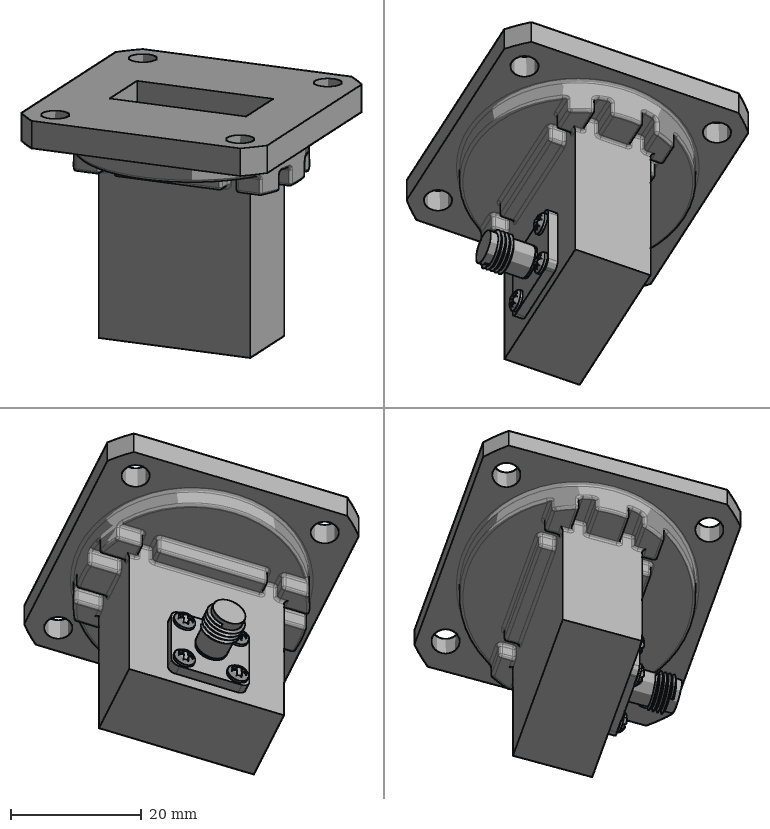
import cadquery as cq
import math

plate_side = 41.25
plate_thickness = 4.4
plate_corner_cut = 3.15
bolt_hole_diameter = 4.3
bolt_spacing_x = 31.05
bolt_spacing_y = 32.52

wall_thickness = 1.3
tube_x = 25.42
tube_y = 12.7
tube_bottom = -38.1
cavity_x = tube_x - 2 * wall_thickness
cavity_y = tube_y - 2 * wall_thickness

disc_diameter = 36.1
disc_bottom = -7.95
skirt_bottom = -11.1
skirt_y = 18.0
notch_width = 2.4
collar_fillet = 0.5

connector_z = -29.55
connector_end = 15.9
connector_flange_side = 12.8
connector_flange_thickness = 1.6
connector_corner_radius = 1.3
barrel_diameter = 5.32
neck_diameter = 5.08
neck_length = 0.37
thread_diameter = 6.35
thread_pitch = 0.7
thread_start = 11.93
thread_turns = 4.2
thread_base_width = 0.65
thread_root_sink = 0.1

screw_spacing = 8.75
screw_head_diameter = 3.45
screw_rim_height = 0.4
screw_head_height = 1.3
screw_slot_width = 0.83
screw_slot_length = 2.3
screw_slot_depth = 0.6

tolerance = 0.005

connector_face = tube_y / 2 + connector_flange_thickness


def box_between(size_x, size_y, z_bottom, z_top):
    """Box centred on the Z axis."""
    return cq.Workplane("XY", origin=(0, 0, z_bottom)).rect(size_x, size_y).extrude(z_top - z_bottom)


def disc_between(diameter, z_bottom, z_top):
    """Disc centred on the Z axis."""
    return cq.Workplane("XY", origin=(0, 0, z_bottom)).circle(diameter / 2).extrude(z_top - z_bottom)


def make_plate():
    """Square plate whose corners are cut by one large circle about its centre."""
    half_side = plate_side / 2
    corner_diameter = 2 * math.hypot(half_side, half_side - plate_corner_cut)
    plate = box_between(plate_side, plate_side, -plate_thickness, 0)
    return plate.intersect(disc_between(corner_diameter, -plate_thickness, 0))


def at_level(edge, z):
    """True for an edge lying flat at height z."""
    box = edge.BoundingBox()
    return abs(box.zmin - z) < tolerance and abs(box.zmax - z) < tolerance


def on_tube(edge):
    """True for an edge lying in a side face of the tube."""
    center = edge.Center()
    off_x = abs(abs(center.x) - tube_x / 2)
    off_y = abs(abs(center.y) - tube_y / 2)
    return min(off_x, off_y) < tolerance


def on_skirt_side(edge):
    """True for an edge lying in one of the two flat sides of the skirt."""
    return abs(abs(edge.Center().y) - skirt_y / 2) < tolerance


def on_stock_side(edge):
    """True for an edge lying in an outer side of the square collar stock."""
    center = edge.Center()
    return max(abs(center.x), abs(center.y)) > plate_side / 2 - tolerance


def on_disc_rim(edge):
    """True for an edge lying in the round side of the disc."""
    points = [edge.positionAt(fraction) for fraction in (0, 0.5, 1)]
    return all(abs(math.hypot(p.x, p.y) - disc_diameter / 2) < tolerance for p in points)


def within_collar(edge):
    """True for an edge between the skirt bottom and the underside of the plate."""
    z = edge.Center().z
    return skirt_bottom - tolerance < z < -plate_thickness - tolerance


def make_square_collar():
    """Collar around the tube, still square outside, with its inner corners and lower edges rounded."""
    skirt = box_between(plate_side, skirt_y, skirt_bottom, disc_bottom)
    notch_x = (cavity_x - notch_width) / 2
    notch_y = (cavity_y - notch_width) / 2
    notch_along_y = box_between(notch_width, skirt_y, skirt_bottom, disc_bottom)
    notch_along_x = box_between(plate_side, notch_width, skirt_bottom, disc_bottom)
    for side in (-1, 1):
        skirt = skirt.cut(notch_along_y.translate((side * notch_x, 0, 0)))
        skirt = skirt.cut(notch_along_x.translate((0, side * notch_y, 0)))

    collar = box_between(plate_side, plate_side, disc_bottom, -plate_thickness).union(skirt)
    collar = collar.union(box_between(tube_x, tube_y, tube_bottom, -plate_thickness))

    collar = collar.edges("|Z").filter(
        lambda e: on_skirt_side(e) and not on_stock_side(e)).fillet(collar_fillet)
    for level in (disc_bottom, skirt_bottom):
        collar = collar.edges().filter(
            lambda e: at_level(e, level) and not on_tube(e) and not on_stock_side(e)).fillet(collar_fillet)
    return collar


def make_flanged_tube():
    """Plate, round collar and tube blended together."""
    body = make_square_collar().intersect(disc_between(disc_diameter, tube_bottom, -plate_thickness))
    body = body.edges().filter(lambda e: on_disc_rim(e) and within_collar(e)).fillet(collar_fillet)
    body = body.edges().filter(lambda e: on_tube(e) and within_collar(e)).fillet(collar_fillet)
    body = body.union(make_plate())
    return body.edges().filter(
        lambda e: at_level(e, -plate_thickness) and on_disc_rim(e)).fillet(collar_fillet)


def cut_openings(body):
    """Waveguide cavity, open at the mating face, and the four bolt holes."""
    body = body.cut(box_between(cavity_x, cavity_y, tube_bottom + wall_thickness, 0))
    return (body.faces(">Z").workplane(origin=(0, 0, 0))
            .rect(bolt_spacing_x, bolt_spacing_y, forConstruction=True)
            .vertices().hole(bolt_hole_diameter, plate_thickness))


def connector_plane(y):
    """Workplane facing +Y on the connector axis; its local y runs along Z."""
    return cq.Workplane(cq.Plane((0, y, connector_z), xDir=(-1, 0, 0), normal=(0, 1, 0)))


def make_thread():
    """Helical ridge with a triangular section, standing along +Z."""
    root_radius = barrel_diameter / 2 - thread_root_sink
    half_base = thread_base_width / 2
    path = cq.Wire.makeHelix(thread_pitch, thread_turns * thread_pitch, root_radius)
    ridge = (cq.Workplane("XZ")
             .moveTo(root_radius, -half_base)
             .lineTo(thread_diameter / 2, 0)
             .lineTo(root_radius, half_base)
             .close())
    return ridge.sweep(path, isFrenet=True)


def make_connector():
    """Square flange, neck, and threaded barrel."""
    flange = (connector_plane(tube_y / 2)
              .rect(connector_flange_side, connector_flange_side)
              .extrude(connector_flange_thickness)
              .edges("|Y").fillet(connector_corner_radius))
    neck = connector_plane(connector_face).circle(neck_diameter / 2).extrude(neck_length)
    barrel_start = connector_face + neck_length
    barrel = connector_plane(barrel_start).circle(barrel_diameter / 2).extrude(connector_end - barrel_start)
    thread = make_thread().rotate((0, 0, 0), (1, 0, 0), -90).translate((0, thread_start, connector_z))
    return flange.union(neck).union(barrel.union(thread))


def make_screw_head():
    """Domed head standing along +Z with a cross recess."""
    radius = screw_head_diameter / 2
    dome_rise = screw_head_height - screw_rim_height
    dome_radius = (radius**2 + dome_rise**2) / (2 * dome_rise)
    half_angle = math.asin(radius / dome_radius) / 2
    dome_middle = (dome_radius * math.sin(half_angle),
                   screw_head_height - dome_radius * (1 - math.cos(half_angle)))
    head = (cq.Workplane("XZ")
            .lineTo(radius, 0)
            .lineTo(radius, screw_rim_height)
            .threePointArc(dome_middle, (0, screw_head_height))
            .close()
            .revolve(360, (0, 0, 0), (0, 1, 0)))
    slot = box_between(screw_slot_length, screw_slot_width,
                       screw_head_height - screw_slot_depth, screw_head_height)
    return head.cut(slot).cut(slot.rotate((0, 0, 0), (0, 0, 1), 90))


def add_screws(body):
    """One screw head at each corner of the connector flange."""
    head = make_screw_head().rotate((0, 0, 0), (1, 0, 0), -90)
    for side_x in (-1, 1):
        for side_z in (-1, 1):
            place = (side_x * screw_spacing / 2, connector_face, connector_z + side_z * screw_spacing / 2)
            body = body.union(head.translate(place))
    return body


result = cut_openings(make_flanged_tube())
result = add_screws(result.union(make_connector()))